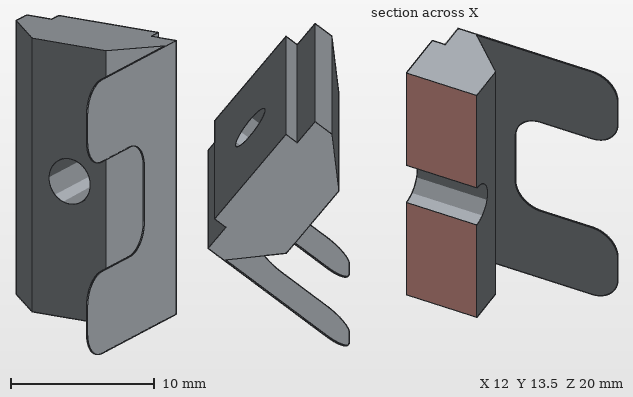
import cadquery as cq

length = 20.0
width = 12.0
block_depth = 5.5
neck_width = 8.0
neck_depth = 1.0
chamfer = 3.0
hole_diameter = 3.3

sheet_thickness = 0.1
total_depth = 13.5
prong_width = 6.0
corner_radius = 2.0

half_width = width / 2
half_length = length / 2
half_neck = neck_width / 2
front_y = 0.0
back_y = front_y + block_depth
shoulder_y = back_y - neck_depth
flank_y = front_y + chamfer
tip_y = back_y - total_depth
body_right = half_width - sheet_thickness


def make_block():
    """Nut body with a raised neck at the back and sloping flanks at the front."""
    profile = [
        (-half_neck, back_y),
        (half_neck, back_y),
        (half_neck, shoulder_y),
        (half_width, shoulder_y),
        (half_width, flank_y),
        (body_right, flank_y),
        (body_right - chamfer, front_y),
        (-half_width + chamfer, front_y),
        (-half_width, flank_y),
        (-half_width, shoulder_y),
        (-half_neck, shoulder_y),
    ]
    block = cq.Workplane("XY").polyline(profile).close().extrude(length)
    return block.translate((0, 0, -half_length))


def make_sheet():
    """Forked sheet in the YZ plane with rounded prongs and a rounded slot."""
    sheet_depth = shoulder_y - tip_y
    slot_depth = front_y - tip_y
    slot_width = length - 2 * prong_width
    sheet = cq.Workplane("XY").box(
        sheet_thickness, sheet_depth, length, centered=(False, False, True)
    )
    slot = cq.Workplane("XY").box(
        sheet_thickness, slot_depth, slot_width, centered=(False, False, True)
    )
    fork = sheet.cut(slot)
    fork = fork.edges("|X").edges("not >Y").fillet(corner_radius)
    return fork.translate((body_right, tip_y, 0))


def make_screw_hole():
    """Through hole along Y at the middle of the block."""
    front_plane = cq.Workplane("XZ", origin=(0, front_y, 0))
    return front_plane.circle(hole_diameter / 2).extrude(-block_depth)


result = make_block().union(make_sheet()).cut(make_screw_hole())